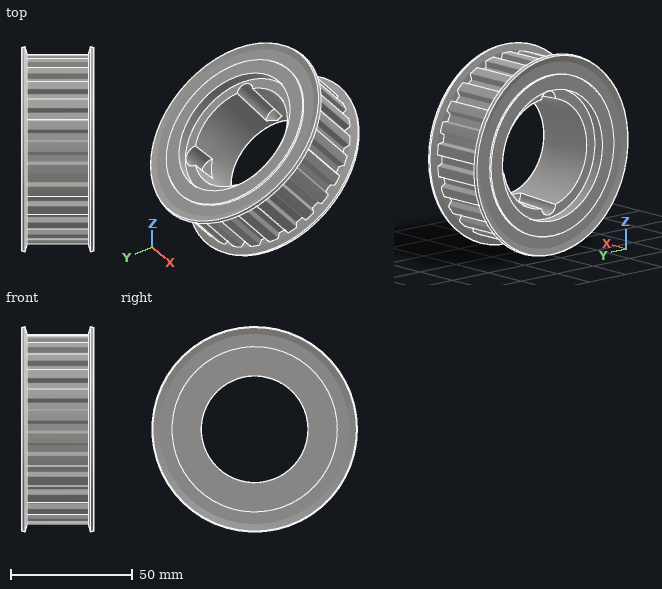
import cadquery as cq
import math

width = 29.7
outer_radius = 42.3

flange_thickness = 1.4
flare_angle = math.radians(17)
flare_depth = 0.85
hub_radius = 34.0

tooth_count = 26
tip_radius = 39.0
groove_depth = 2.5
groove_floor_width = 3.1
groove_flank_angle = math.radians(20)
groove_fillet = 0.3
first_groove_angle = 178.8

recess_radius = 27.65
recess_depth = 4.65
bore_front_radius = 23.2
bore_back_radius = 21.9

screw_hole_radius = 3.9
screw_hole_depth = 21.6
screw_hole_height = 22.3
screw_hole_offset = 1.95
drill_half_angle = math.radians(59)

flat_hole_radius = 4.9
flat_hole_depth = 11.6
flat_hole_offset = 22.5

cut_margin = 0.85
flange_inner_face = flare_depth + flange_thickness


def revolve_about_x(points):
    """Revolve an outline of (x, radius) points about the X axis."""
    return cq.Workplane("XY").polyline(points).close().revolve(360, (0, 0, 0), (1, 0, 0))


def flange():
    """Front flange: flat against the teeth, with its rim bent toward -X."""
    rim_inner_x = flange_thickness * math.cos(flare_angle)
    rim_outer_radius = outer_radius - flange_thickness * math.sin(flare_angle)
    outer_bend_radius = rim_outer_radius - flare_depth / math.tan(flare_angle)
    inner_bend_radius = outer_radius - (flange_inner_face - rim_inner_x) / math.tan(flare_angle)
    return revolve_about_x([
        (flare_depth, hub_radius),
        (flare_depth, outer_bend_radius),
        (0, rim_outer_radius),
        (rim_inner_x, outer_radius),
        (flange_inner_face, inner_bend_radius),
        (flange_inner_face, hub_radius),
    ])


def toothed_rim():
    """Cylinder cut by trapezoidal belt grooves with rounded floors and tooth edges."""
    length = width - 2 * flange_inner_face
    floor_radius = tip_radius - groove_depth
    half_floor = groove_floor_width / 2
    half_top = half_floor + (groove_depth + cut_margin) * math.tan(groove_flank_angle)
    groove = (
        cq.Workplane("YZ")
        .polyline([
            (floor_radius, -half_floor),
            (tip_radius + cut_margin, -half_top),
            (tip_radius + cut_margin, half_top),
            (floor_radius, half_floor),
        ])
        .close()
        .extrude(length)
    )
    rim = cq.Workplane("YZ").circle(tip_radius).extrude(length)
    for index in range(tooth_count):
        angle = first_groove_angle + index * 360 / tooth_count
        rim = rim.cut(groove.rotate((0, 0, 0), (1, 0, 0), angle))
    rim = rim.edges("|X").fillet(groove_fillet)
    return rim.translate((flange_inner_face, 0, 0))


def hub():
    return cq.Workplane("YZ").circle(hub_radius).extrude(width)


def bore():
    """Recess at the front, then a taper narrowing to the back face."""
    return revolve_about_x([
        (0, 0),
        (0, recess_radius),
        (recess_depth, recess_radius),
        (recess_depth, bore_front_radius),
        (width, bore_back_radius),
        (width, 0),
    ])


def screw_hole(side):
    """Drilled hole with a conical end, above (side 1) or below (side -1) the axis."""
    shoulder = recess_depth + screw_hole_depth
    point = shoulder + screw_hole_radius / math.tan(drill_half_angle)
    hole = revolve_about_x([
        (0, 0),
        (0, screw_hole_radius),
        (shoulder, screw_hole_radius),
        (point, 0),
    ])
    return hole.translate((0, -screw_hole_offset, side * screw_hole_height))


def flat_hole():
    end = recess_depth + flat_hole_depth
    return cq.Workplane("YZ").center(flat_hole_offset, 0).circle(flat_hole_radius).extrude(end)


front_flange = flange()
back_flange = front_flange.mirror("YZ", (width / 2, 0, 0))

result = toothed_rim().union(hub()).union(front_flange).union(back_flange)
result = result.cut(bore())
for side in (1, -1):
    result = result.cut(screw_hole(side))
result = result.cut(flat_hole())